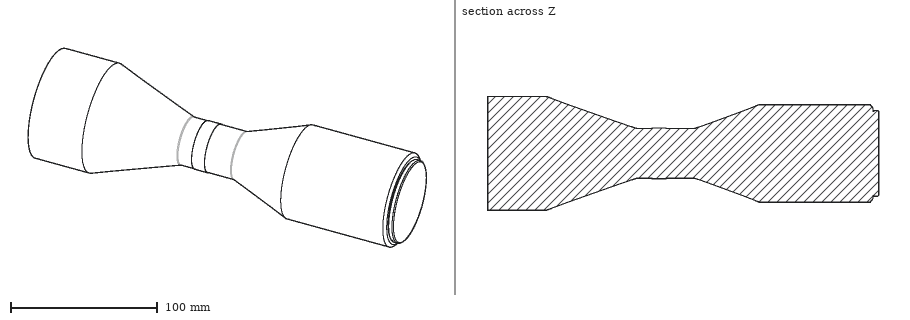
import cadquery as cq

length = 266.7
head_radius = 39.0
waist_radius = 17.0
body_radius = 33.3
shoulder_radius = 31.0
spigot_radius = 29.3

head_end = 40.0
waist_start = 101.0
ring_start = 112.0
ring_end = 121.5
waist_end = 141.5
body_start = 185.0
body_end = 260.8
shoulder_end = 262.7

waist_lip = 0.8
lip_depth = 0.15
ring_height = 0.3
spigot_chamfer = 0.8

ring_radius = waist_radius + ring_height
cone_end_radius = waist_radius + lip_depth

profile = [
    (0, 0),
    (0, head_radius),
    (head_end, head_radius),
    (waist_start, cone_end_radius),
    (waist_start + waist_lip, waist_radius),
    (ring_start, waist_radius),
    (ring_start, ring_radius),
    (ring_end, ring_radius),
    (ring_end, waist_radius),
    (waist_end - waist_lip, waist_radius),
    (waist_end, cone_end_radius),
    (body_start, body_radius),
    (body_end, body_radius),
    (shoulder_end, shoulder_radius),
    (shoulder_end, spigot_radius - spigot_chamfer),
    (shoulder_end + spigot_chamfer, spigot_radius),
    (length - spigot_chamfer, spigot_radius),
    (length, spigot_radius - spigot_chamfer),
    (length, 0),
]

result = (
    cq.Workplane("XZ")
    .polyline(profile)
    .close()
    .revolve(360, (0, 0, 0), (1, 0, 0))
    .translate((-length / 2, 0, 0))
)